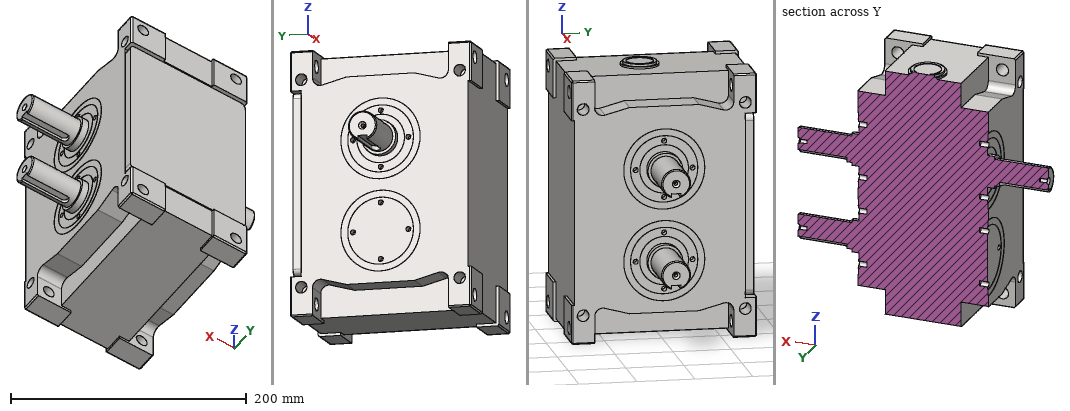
import cadquery as cq
import math

WIDTH_X = 120.0
DEPTH_Y = 160.0
HEIGHT_Z = 230.0
PAD_RAISE_Y = 2.5
PAD_RAISE_Z = 2.5
PAD_X = 35.0
PAD_Y = 20.0
PAD_Z = 34.5
PAD_CHAMFER = 1.3

CORE_X = 70.0
POCKET_HALF_Y = DEPTH_Y / 2 - PAD_Y
LEDGE_Z = 90.0
LEDGE_HALF_Y = 30.0
LEDGE_SLOPE = 15.0
POCKET_FILLET = 7.0

FOOT_HOLE_D = 11.0
FOOT_HOLE_X = 48.0
FOOT_HOLE_Z = 103.0
SIDE_HOLE_D = 10.0
SIDE_HOLE_Y = 70.0
SIDE_HOLE_Z = 90.0
SIDE_HOLE_DEPTH = 20.0

COVER_SEAT_Y = 70.0
COVER_OUTER_Y = 77.5
COVER_SIDE_INSET = 0.5
COVER_GAP = 1.5
COVER_CORNER_R = 5.0

CENTRE_DISTANCE = 80.0
UPPER_SHAFT_Z = 35.0
LOWER_SHAFT_Z = UPPER_SHAFT_Z - CENTRE_DISTANCE
SHAFT_D = 25.0
SHAFT_END_X = 115.0
SHAFT_ROOT_DEPTH = 8.0
SHAFT_CHAMFER = 1.0
COLLAR_D = 30.0
COLLAR_LENGTH = 5.5
KEYWAY_WIDTH = 8.0
KEYWAY_DEPTH = 4.0
KEYWAY_LENGTH = 45.0
CENTRE_HOLE_D = 3.0
CENTRE_HOLE_MOUTH_D = 6.5
CENTRE_HOLE_DEPTH = 8.0
CENTRE_HOLE_TAPER = 45.0

BEARING_BORE_D = 70.0
BEARING_CAP_D = 58.0
SEAL_D = 42.0
CAP_RECESS = 0.3
CAP_SCREW_CIRCLE_D = 49.0
CAP_SCREW_D = 4.2
CAP_SCREW_DEPTH = 8.0
CAP_SCREW_COUNT = 4

PLUG_Y = -10.0
PLUG_FLANGE_D = 33.0
PLUG_FLANGE_HEIGHT = 1.5
PLUG_HEAD_D = 29.0
PLUG_TOP_Z = 116.0
PLUG_DISH_D = 23.5
PLUG_DISH_DEPTH = 0.5

HALF_X = WIDTH_X / 2
HALF_Y = DEPTH_Y / 2
HALF_Z = HEIGHT_Z / 2
BODY_HALF_Y = HALF_Y - PAD_RAISE_Y
BODY_HALF_Z = HALF_Z - PAD_RAISE_Z
PAD_INNER_Z = HALF_Z - PAD_Z
SIDES = (-1, 1)


def side_plane(side, x, z=0.0):
    """Plane at |X| = x facing out of the given shaft face; local x is along Y, local y is Z."""
    return cq.Plane(origin=(side * x, 0, z), xDir=(0, side, 0), normal=(side, 0, 0))


def make_pads():
    """Eight corner blocks, chamfered along their three outer edges."""
    pads = []
    for side_x in SIDES:
        for side_y in SIDES:
            for side_z in SIDES:
                block = (
                    cq.Workplane("XY")
                    .box(PAD_X, PAD_Y, PAD_Z)
                    .translate(
                        (
                            side_x * (HALF_X - PAD_X / 2),
                            side_y * (HALF_Y - PAD_Y / 2),
                            side_z * (HALF_Z - PAD_Z / 2),
                        )
                    )
                )
                x_face = ">X" if side_x > 0 else "<X"
                y_face = ">Y" if side_y > 0 else "<Y"
                z_face = ">Z" if side_z > 0 else "<Z"
                edge_pairs = ((x_face, y_face), (x_face, z_face), (y_face, z_face))
                outer_edges = block.edges(" or ".join(f"({a} and {b})" for a, b in edge_pairs))
                pads.append(outer_edges.chamfer(PAD_CHAMFER))
    return pads


def make_pocket(side_x, side_z):
    """Cutter that opens one end of a shaft face between two corner posts."""
    slope_drop = (POCKET_HALF_Y - LEDGE_HALF_Y) * math.tan(math.radians(LEDGE_SLOPE))
    corner_z = LEDGE_Z - slope_drop
    pocket_depth = HALF_X - CORE_X / 2
    cutter = (
        cq.Workplane("YZ", origin=(CORE_X / 2, 0, 0))
        .moveTo(-POCKET_HALF_Y, HALF_Z)
        .lineTo(-POCKET_HALF_Y, corner_z)
        .lineTo(-LEDGE_HALF_Y, LEDGE_Z)
        .lineTo(LEDGE_HALF_Y, LEDGE_Z)
        .lineTo(POCKET_HALF_Y, corner_z)
        .lineTo(POCKET_HALF_Y, HALF_Z)
        .close()
        .extrude(pocket_depth)
    )
    low_corners = cutter.edges("|X").edges("<Y or >Y").edges("<Z")
    cutter = low_corners.fillet(POCKET_FILLET)
    if side_x < 0:
        cutter = cutter.mirror("YZ")
    if side_z < 0:
        cutter = cutter.mirror("XY")
    return cutter


def make_housing():
    housing = cq.Workplane("XY").box(WIDTH_X, 2 * BODY_HALF_Y, 2 * BODY_HALF_Z)
    for pad in make_pads():
        housing = housing.union(pad)
    for side_x in SIDES:
        for side_z in SIDES:
            housing = housing.cut(make_pocket(side_x, side_z))
    return housing


def cut_mounting_holes(housing):
    foot_points = [(x * FOOT_HOLE_X, z * FOOT_HOLE_Z) for x in SIDES for z in SIDES]
    foot_holes = (
        cq.Workplane("XZ", origin=(0, HALF_Y, 0))
        .pushPoints(foot_points)
        .circle(FOOT_HOLE_D / 2)
        .extrude(DEPTH_Y)
    )
    housing = housing.cut(foot_holes)
    side_points = [(y * SIDE_HOLE_Y, z * SIDE_HOLE_Z) for y in SIDES for z in SIDES]
    for side in SIDES:
        side_holes = (
            cq.Workplane(side_plane(side, HALF_X))
            .pushPoints(side_points)
            .circle(SIDE_HOLE_D / 2)
            .extrude(-SIDE_HOLE_DEPTH)
        )
        housing = housing.cut(side_holes)
    return housing


def fit_rear_cover(housing):
    """Cut the rear wall back between the pads and set a rounded cover plate on the seat."""
    seat_depth = HALF_Y - COVER_SEAT_Y
    seat = (
        cq.Workplane("XY")
        .box(WIDTH_X, seat_depth, 2 * PAD_INNER_Z)
        .translate((0, COVER_SEAT_Y + seat_depth / 2, 0))
    )
    thickness = COVER_OUTER_Y - COVER_SEAT_Y
    cover = (
        cq.Workplane("XY")
        .box(WIDTH_X - 2 * COVER_SIDE_INSET, thickness, 2 * (PAD_INNER_Z - COVER_GAP))
        .edges("|Y")
        .fillet(COVER_CORNER_R)
        .translate((0, COVER_SEAT_Y + thickness / 2, 0))
    )
    return housing.cut(seat).union(cover)


def cut_bearing_cap(housing, side, z, has_shaft):
    """Shallow stepped recess with a ring of screw holes around one shaft axis."""
    face = cq.Workplane(side_plane(side, HALF_X, z))
    step_diameters = [BEARING_BORE_D, BEARING_CAP_D]
    if has_shaft:
        step_diameters.append(SEAL_D)
    for level, diameter in enumerate(step_diameters, start=1):
        housing = housing.cut(face.circle(diameter / 2).extrude(-level * CAP_RECESS))
    screws = (
        face.polarArray(CAP_SCREW_CIRCLE_D / 2, 0, 360, CAP_SCREW_COUNT)
        .circle(CAP_SCREW_D / 2)
        .extrude(-CAP_SCREW_DEPTH)
    )
    return housing.cut(screws)


def make_shaft(side, z):
    """Shaft end with its collar, centre hole and an open keyway along the underside."""
    root_x = HALF_X - SHAFT_ROOT_DEPTH
    root = cq.Workplane(side_plane(side, root_x, z))
    shaft = root.circle(SHAFT_D / 2).extrude(SHAFT_END_X - root_x)
    shaft = shaft.faces(">X" if side > 0 else "<X").chamfer(SHAFT_CHAMFER)
    shaft = shaft.union(root.circle(COLLAR_D / 2).extrude(HALF_X + COLLAR_LENGTH - root_x))

    keyway_tip_x = SHAFT_END_X - KEYWAY_LENGTH
    keyway_centre_x = keyway_tip_x + KEYWAY_WIDTH / 2
    keyway_floor = cq.Workplane("XY", origin=(0, 0, z - SHAFT_D / 2 + KEYWAY_DEPTH))
    round_end = (
        keyway_floor.center(side * keyway_centre_x, 0).circle(KEYWAY_WIDTH / 2).extrude(-KEYWAY_DEPTH)
    )
    straight = (
        keyway_floor.center(side * (keyway_centre_x + SHAFT_END_X) / 2, 0)
        .rect(SHAFT_END_X - keyway_centre_x, KEYWAY_WIDTH)
        .extrude(-KEYWAY_DEPTH)
    )
    shaft = shaft.cut(round_end).cut(straight)

    end_face = cq.Workplane(side_plane(side, SHAFT_END_X, z))
    pilot = end_face.circle(CENTRE_HOLE_D / 2).extrude(-CENTRE_HOLE_DEPTH)
    mouth_depth = (CENTRE_HOLE_MOUTH_D - CENTRE_HOLE_D) / 2 / math.tan(math.radians(CENTRE_HOLE_TAPER))
    mouth = end_face.circle(CENTRE_HOLE_MOUTH_D / 2).extrude(-mouth_depth, taper=CENTRE_HOLE_TAPER)
    return shaft.cut(pilot).cut(mouth)


def make_plug():
    """Flanged plug on the top wall with a shallow dish in its head."""
    base = cq.Workplane("XY", origin=(0, PLUG_Y, BODY_HALF_Z))
    flange = base.circle(PLUG_FLANGE_D / 2).extrude(PLUG_FLANGE_HEIGHT)
    head = base.circle(PLUG_HEAD_D / 2).extrude(PLUG_TOP_Z - BODY_HALF_Z)
    dish = (
        cq.Workplane("XY", origin=(0, PLUG_Y, PLUG_TOP_Z))
        .circle(PLUG_DISH_D / 2)
        .extrude(-PLUG_DISH_DEPTH)
    )
    return flange.union(head).cut(dish)


result = cut_mounting_holes(fit_rear_cover(make_housing()))
for shaft_side, shaft_z, shaft_present in (
    (-1, UPPER_SHAFT_Z, True),
    (-1, LOWER_SHAFT_Z, False),
    (1, UPPER_SHAFT_Z, True),
    (1, LOWER_SHAFT_Z, True),
):
    result = cut_bearing_cap(result, shaft_side, shaft_z, shaft_present)
    if shaft_present:
        result = result.union(make_shaft(shaft_side, shaft_z))
result = result.union(make_plug())